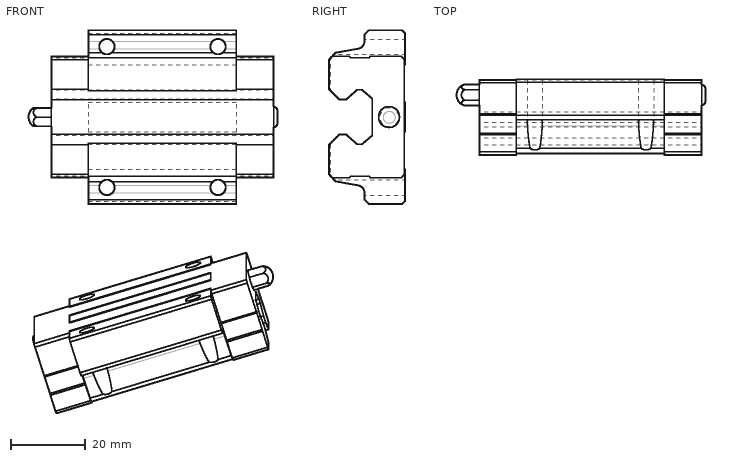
import cadquery as cq
import math


block_length = 40.0
cap_length = 10.0
nipple_length = 6.2
plug_height = 1.1
carriage_length = block_length + 2 * cap_length

mount_y = 0.0
cap_back_y = -0.2
cap_front_y = -20.5
block_front_y = -20.1

flange_half_width = 23.5
flange_thickness = 11.0
flange_back_chamfer = 0.8
flange_front_chamfer = 1.2
side_root_half_width = 18.8
side_taper = math.radians(10)
side_taper_end_y = -18.7
root_fillet = 2.0
relief_inner_z = 4.05
relief_outer_z = 14.05

hole_diameter = 4.1
hole_spacing_x = 30.0
hole_spacing_z = 38.0

cap_half_width = 16.35
cap_back_chamfer = 0.8
cap_front_chamfer = 0.9
groove_depth = 0.4
groove_back_y = -9.35
groove_front_y = -15.0

channel_floor_y = -8.9
channel_floor_half_width = 5.0
channel_wide_half_width = 7.35
channel_wide_back_y = -11.65
channel_wide_front_y = -12.9
throat_half_width = 4.7
throat_back_y = -15.9
throat_front_y = -17.8
channel_mouth_half_width = throat_half_width + throat_front_y - cap_front_y

fitting_y = -4.3
nipple_across_flats = 5.0
nipple_dome_radius = 2.95
plug_radius = 2.8
plug_face_radius = 1.6


def extrude_along_x(half_outline, length):
    """Mirror a list of (y, z) points about Z = 0 and extrude it, centred on X = 0."""
    mirrored = [(y, -z) for y, z in reversed(half_outline)]
    outline = cq.Workplane("YZ").polyline(half_outline + mirrored).close()
    return outline.extrude(length / 2, both=True)


def make_block():
    flange_front_y = mount_y - flange_thickness
    taper_run = flange_front_y - side_taper_end_y
    taper_end_z = side_root_half_width - taper_run * math.tan(side_taper)
    half_outline = [
        (mount_y, flange_half_width - flange_back_chamfer),
        (mount_y - flange_back_chamfer, flange_half_width),
        (flange_front_y + flange_front_chamfer, flange_half_width),
        (flange_front_y, flange_half_width - flange_front_chamfer),
        (flange_front_y, side_root_half_width),
        (side_taper_end_y, taper_end_z),
        (block_front_y, taper_end_z - (side_taper_end_y - block_front_y)),
    ]
    block = extrude_along_x(half_outline, block_length)
    for side in (1, -1):
        root_point = (0, flange_front_y, side * side_root_half_width)
        block = block.edges(cq.selectors.NearestToPointSelector(root_point)).fillet(root_fillet)
    return block


def make_mount_reliefs():
    """Two shallow lengthwise recesses that leave three raised pads on the mounting face."""
    relief_middle_z = (relief_inner_z + relief_outer_z) / 2
    return (
        cq.Workplane("XZ", origin=(0, mount_y, 0))
        .pushPoints([(0, relief_middle_z), (0, -relief_middle_z)])
        .rect(block_length, relief_outer_z - relief_inner_z)
        .extrude(mount_y - cap_back_y)
    )


def make_mount_holes():
    return (
        cq.Workplane("XZ", origin=(0, mount_y, 0))
        .rect(hole_spacing_x, hole_spacing_z, forConstruction=True)
        .vertices()
        .circle(hole_diameter / 2)
        .extrude(mount_y - cap_front_y)
    )


def make_end_cap(side):
    """End cap at the +X (side = 1) or -X (side = -1) end of the block."""
    half_outline = [
        (cap_back_y, cap_half_width - cap_back_chamfer),
        (cap_back_y - cap_back_chamfer, cap_half_width),
        (groove_back_y, cap_half_width),
        (groove_back_y - groove_depth, cap_half_width - groove_depth),
        (groove_front_y + groove_depth, cap_half_width - groove_depth),
        (groove_front_y, cap_half_width),
        (cap_front_y + cap_front_chamfer, cap_half_width),
        (cap_front_y, cap_half_width - cap_front_chamfer),
    ]
    cap = extrude_along_x(half_outline, cap_length)
    return cap.translate((side * (block_length + cap_length) / 2, 0, 0))


def make_channel():
    half_outline = [
        (channel_floor_y, channel_floor_half_width),
        (channel_wide_back_y, channel_wide_half_width),
        (channel_wide_front_y, channel_wide_half_width),
        (throat_back_y, throat_half_width),
        (throat_front_y, throat_half_width),
        (cap_front_y, channel_mouth_half_width),
    ]
    return extrude_along_x(half_outline, carriage_length)


def make_nipple():
    """Hexagonal bar on the -X end, rounded off by a sphere at its tip."""
    across_corners = nipple_across_flats / math.cos(math.pi / 6)
    tip_x = -carriage_length / 2 - nipple_length
    hexagon = (
        cq.Workplane("YZ", origin=(tip_x, fitting_y, 0))
        .polygon(6, across_corners)
        .extrude(nipple_length)
    )
    half_envelope = (
        cq.Workplane("XY", origin=(tip_x, fitting_y, 0))
        .radiusArc((nipple_dome_radius, nipple_dome_radius), nipple_dome_radius)
        .lineTo(nipple_length, nipple_dome_radius)
        .lineTo(nipple_length, 0)
        .close()
    )
    return hexagon.intersect(half_envelope.revolve(360, (0, 0, 0), (1, 0, 0)))


def make_plug():
    """Button head on the +X end, its rounded rim running smoothly into a flat face."""
    rim_width = plug_radius - plug_face_radius
    rim_arc_radius = (rim_width**2 + plug_height**2) / (2 * plug_height)
    half_profile = (
        cq.Workplane("XY", origin=(carriage_length / 2, fitting_y, 0))
        .lineTo(0, plug_radius)
        .radiusArc((plug_height, plug_face_radius), rim_arc_radius)
        .lineTo(plug_height, 0)
        .close()
    )
    return half_profile.revolve(360, (0, 0, 0), (1, 0, 0))


block = make_block().cut(make_mount_reliefs()).cut(make_mount_holes())
carriage = block.union(make_end_cap(-1)).union(make_end_cap(1)).cut(make_channel())
result = carriage.union(make_nipple()).union(make_plug())